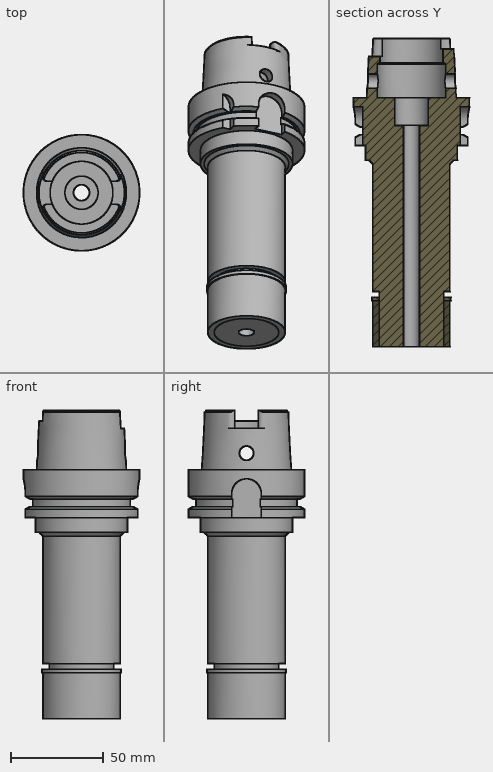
import cadquery as cq
import math


shank_length = 32.0
shank_base_d = 48.7
shank_taper = 1 / 10
shank_chamfer = 1.0
shank_top_d = shank_base_d - shank_taper * shank_length

flange_d = 63.0
flange_length = 26.0
groove_d = 55.0
groove_width = 7.0
groove_side_height = 1.5
groove_centre_z = -18.0
cone_angle = math.radians(30)

shoulder_d = 50.0
shoulder_bottom_z = -34.0
body_cone_height = 2.0
body_d = 42.0
body_bottom_z = -105.0
neck_d = 35.0
nose_z = -135.0

ring_d = 43.0
ring_top_z = -108.0
ring_bottom_z = -110.0
nut_d = body_d

mouth_d = 34.0
mouth_bottom_z = 19.0
cavity_d = 37.0
cavity_floor_z = 0.0
coolant_bore_d = 18.0
coolant_bore_depth = 15.0
through_d = 8.5

drive_slot_width = 12.5
drive_slot_fillet = 2.4
drive_slot_depths = {-1: 5.6, 1: 9.7}

cross_hole_d = 7.6
cross_hole_z = 8.9

key_slot_width = 16.0
key_slot_centre_z = -13.0
key_slot_floor = 26.5
notch_y = 28.0
notch_floor = 20.0


def cylinder(diameter, bottom_z, top_z):
    return cq.Workplane("XY").workplane(offset=bottom_z).circle(diameter / 2).extrude(top_z - bottom_z)


def revolve_profile(points):
    """Revolve (diameter, z) points about Z."""
    profile = [(diameter / 2, z) for diameter, z in points]
    return cq.Workplane("XZ").polyline(profile).close().revolve(360, (0, 0, 0), (0, 1, 0))


def is_outer_slot_corner(edge):
    """True for the upright edges where a drive slot breaks out of the shank's outer wall."""
    centre = edge.Center()
    on_slot_wall = math.isclose(abs(centre.y), drive_slot_width / 2, abs_tol=0.01)
    mean_radius = (shank_top_d + mouth_d) / 4
    upright = edge.endPoint().z != edge.startPoint().z
    return on_slot_wall and upright and math.hypot(centre.x, centre.y) > mean_radius


def make_shank():
    """Tapered tube with two drive slots, each with rounded outer corners, and a chamfered rim."""
    shank = revolve_profile([
        (0, 0),
        (shank_base_d, 0),
        (shank_top_d, shank_length),
        (0, shank_length),
    ])
    shank = shank.cut(cylinder(mouth_d, mouth_bottom_z, shank_length))
    for side, depth in drive_slot_depths.items():
        slot = cq.Workplane("XY").box(shank_base_d / 2, drive_slot_width, depth)
        shank = shank.cut(slot.translate((side * shank_base_d / 4, 0, shank_length - depth / 2)))
    shank = shank.edges().filter(is_outer_slot_corner).fillet(drive_slot_fillet)
    chamfer_limit = revolve_profile([
        (0, 0),
        (flange_d, 0),
        (shank_top_d + 2 * (shank_length - shank_chamfer), 0),
        (shank_top_d - 2 * shank_chamfer, shank_length),
        (0, shank_length),
    ])
    return shank.intersect(chamfer_limit)


def make_flange_and_body():
    """Everything below the flange face: grooved flange, shoulder, body and neck."""
    groove_top_z = groove_centre_z + groove_width / 2
    groove_bottom_z = groove_centre_z - groove_width / 2
    groove_wall_top_z = groove_top_z - groove_side_height
    groove_wall_bottom_z = groove_bottom_z + groove_side_height
    groove_mid_d = flange_d - 2 * groove_side_height / math.tan(cone_angle)
    return revolve_profile([
        (0, 0),
        (flange_d, 0),
        (flange_d, groove_top_z),
        (groove_mid_d, groove_wall_top_z),
        (groove_d, groove_wall_top_z),
        (groove_d, groove_wall_bottom_z),
        (groove_mid_d, groove_wall_bottom_z),
        (flange_d, groove_bottom_z),
        (flange_d, -flange_length),
        (shoulder_d, -flange_length),
        (shoulder_d, shoulder_bottom_z),
        (body_d + 2 * body_cone_height, shoulder_bottom_z),
        (body_d, shoulder_bottom_z - body_cone_height),
        (body_d, body_bottom_z),
        (neck_d, body_bottom_z),
        (neck_d, nose_z),
        (0, nose_z),
    ])


def make_bore():
    """Stepped bore below the mouth: undercut cavity, coolant bore and through hole."""
    cavity_top_z = mouth_bottom_z - (cavity_d - mouth_d) / 2 * math.tan(cone_angle)
    coolant_floor_z = cavity_floor_z - coolant_bore_depth
    return revolve_profile([
        (0, mouth_bottom_z),
        (mouth_d, mouth_bottom_z),
        (cavity_d, cavity_top_z),
        (cavity_d, cavity_floor_z),
        (coolant_bore_d, cavity_floor_z),
        (coolant_bore_d, coolant_floor_z),
        (through_d, coolant_floor_z),
        (through_d, nose_z),
        (0, nose_z),
    ])


def make_key_slot(side, floor, centre_y):
    """Cutter for a slot open at the flange bottom, round at the top, entered along X from one side."""
    radius = key_slot_width / 2
    return (
        cq.Workplane("YZ")
        .workplane(offset=side * floor)
        .moveTo(centre_y - radius, -flange_length)
        .lineTo(centre_y - radius, key_slot_centre_z)
        .threePointArc((centre_y, key_slot_centre_z + radius), (centre_y + radius, key_slot_centre_z))
        .lineTo(centre_y + radius, -flange_length)
        .close()
        .extrude(side * (flange_d / 2 - floor))
    )


def make_holder():
    cross_hole = (
        cq.Workplane("YZ")
        .center(0, cross_hole_z)
        .circle(cross_hole_d / 2)
        .extrude(shank_base_d / 2, both=True)
    )
    holder = make_shank().union(make_flange_and_body())
    holder = holder.cut(make_bore()).cut(cross_hole)
    for side in (-1, 1):
        holder = holder.cut(make_key_slot(side, key_slot_floor, 0))
    return holder.cut(make_key_slot(-1, notch_floor, notch_y))


def make_sleeve(outer_d, bottom_z, top_z):
    """Plain sleeve fitting around the neck."""
    return cylinder(outer_d, bottom_z, top_z).cut(cylinder(neck_d, bottom_z, top_z))


holder = make_holder()
seal_ring = make_sleeve(ring_d, ring_bottom_z, ring_top_z)
clamping_nut = make_sleeve(nut_d, nose_z, ring_bottom_z)

result = cq.Compound.makeCompound([
    holder.solids().val(),
    seal_ring.val(),
    clamping_nut.val(),
])